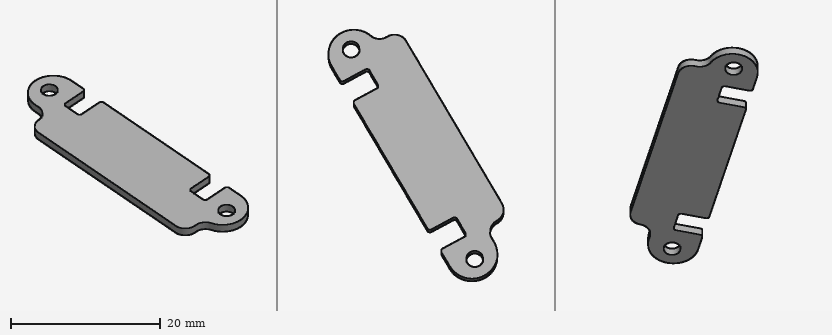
import cadquery as cq
import math

length = 39.15
width = 10.45
thickness = 1.27

ear_radius = 3.43
ear_x = length / 2 - ear_radius
ear_y = width - ear_radius
ear_bottom = ear_y - ear_radius

hole_diameter = 2.26
hole_spacing = 33.8

tab_left = -13.68
tab_right = 16.08
bend_radius = ear_bottom / 2

notch_center_x = 11.97
notch_width = 3.07
notch_depth = 4.13
notch_corner_radius = 0.4


def make_plate():
    """Plate outline, counter-clockwise from the left end of the front edge."""
    right_cove_x = tab_right + bend_radius
    center_distance = ear_radius + bend_radius
    cove_offset_x = right_cove_x - ear_x
    cove_offset_y = math.sqrt(center_distance**2 - cove_offset_x**2)
    right_cove_y = ear_y - cove_offset_y
    ear_share = ear_radius / center_distance
    ear_contact = (ear_x + cove_offset_x * ear_share, ear_y - cove_offset_y * ear_share)

    left_cove_x = tab_left - bend_radius

    return (
        cq.Workplane("XY")
        .moveTo(tab_left + bend_radius, 0)
        .lineTo(tab_right - bend_radius, 0)
        .radiusArc((tab_right, bend_radius), -bend_radius)
        .lineTo(tab_right, right_cove_y)
        .radiusArc(ear_contact, bend_radius)
        .threePointArc((ear_x + ear_radius, ear_y), (ear_x, width))
        .lineTo(-ear_x, width)
        .threePointArc((-ear_x - ear_radius, ear_y), (-ear_x, ear_bottom))
        .lineTo(left_cove_x, ear_bottom)
        .radiusArc((tab_left, bend_radius), bend_radius)
        .radiusArc((tab_left + bend_radius, 0), -bend_radius)
        .close()
        .extrude(thickness)
    )


def cut_holes(plate):
    """Through holes in the ears."""
    centers = [(side * hole_spacing / 2, ear_y) for side in (-1, 1)]
    holes = cq.Workplane("XY").pushPoints(centers).circle(hole_diameter / 2).extrude(thickness)
    return plate.cut(holes)


def cut_notch(plate, center_x):
    """Square notch in the back edge with its inner and outer corners rounded."""
    notch = (
        cq.Workplane("XY")
        .center(center_x, width - notch_depth / 2)
        .rect(notch_width, notch_depth)
        .extrude(thickness)
    )
    reach = notch_width / 2 + notch_corner_radius / 2
    corners = cq.selectors.BoxSelector(
        (center_x - reach, width - notch_depth - notch_corner_radius, -thickness),
        (center_x + reach, width + notch_corner_radius, 2 * thickness),
    )
    return plate.cut(notch).edges("|Z").edges(corners).fillet(notch_corner_radius)


result = make_plate()
for side in (-1, 1):
    result = cut_notch(result, side * notch_center_x)
result = cut_holes(result)